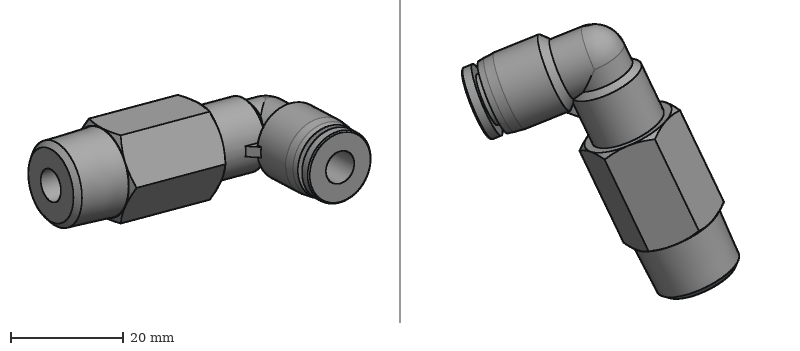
import cadquery as cq
import math


elbow_radius = 5.8
bore_radius = 3.1

body_radius = 7.4
body_shoulder_radius = 7.2
body_end_radius = 6.95
body_start = 7.8
body_taper_start = 16.5
body_shoulder = 18.45
body_end = 19.7
groove_radius = 4.9
collar_start = 20.9
collar_end = 22.9
collar_radius = 6.9
collar_chamfer = 0.25

sleeve_radius = 7.0
sleeve_top = -5.0
sleeve_chamfer = sleeve_radius - elbow_radius

hex_across_flats = 17.0
hex_top = -14.95
hex_bottom = -35.95
hex_chamfer_angle = 30
hex_flat_radius = hex_across_flats / 2
hex_corner_radius = hex_flat_radius / math.cos(math.pi / 6)

thread_end = body_radius - 54.4
thread_top_radius = 8.4
thread_taper = 1 / 32
thread_chamfer = 1.1

web_thickness = 2.0
web_reach = 16.3


def revolve_about_x(profile):
    """Revolve (x, radius) points about the branch axis."""
    return cq.Workplane("XY").polyline(profile).close().revolve(360, (0, 0, 0), (1, 0, 0))


def revolve_about_y(profile):
    """Revolve (radius, y) points about the stem axis."""
    return cq.Workplane("XY").polyline(profile).close().revolve(360, (0, 0, 0), (0, 1, 0))


def round_bend(radius, branch_length, stem_length):
    """Two crossing cylinders joined by a sphere at the origin."""
    branch = cq.Workplane("YZ").circle(radius).extrude(branch_length)
    stem = cq.Workplane("XZ").circle(radius).extrude(stem_length)
    return branch.union(stem).union(cq.Workplane("XY").sphere(radius))


def branch_body():
    neck_end = body_start - (body_radius - elbow_radius)
    return revolve_about_x([
        (neck_end, 0),
        (neck_end, elbow_radius),
        (body_start, body_radius),
        (body_taper_start, body_radius),
        (body_shoulder, body_shoulder_radius),
        (body_end, body_end_radius),
        (body_end, groove_radius),
        (collar_start, groove_radius),
        (collar_start, collar_radius),
        (collar_end - collar_chamfer, collar_radius),
        (collar_end, collar_radius - collar_chamfer),
        (collar_end, 0),
    ])


def sleeve():
    return revolve_about_y([
        (0, sleeve_top + sleeve_chamfer),
        (elbow_radius, sleeve_top + sleeve_chamfer),
        (sleeve_radius, sleeve_top),
        (sleeve_radius, hex_top),
        (0, hex_top),
    ])


def hexagon():
    prism = (
        cq.Workplane("XZ", origin=(0, hex_top, 0))
        .polygon(6, 2 * hex_corner_radius)
        .extrude(hex_top - hex_bottom)
    )
    corner_drop = (hex_corner_radius - hex_flat_radius) * math.tan(math.radians(hex_chamfer_angle))
    chamfer_envelope = revolve_about_y([
        (0, hex_top),
        (hex_flat_radius, hex_top),
        (hex_corner_radius, hex_top - corner_drop),
        (hex_corner_radius, hex_bottom + corner_drop),
        (hex_flat_radius, hex_bottom),
        (0, hex_bottom),
    ])
    return prism.intersect(chamfer_envelope)


def thread():
    chamfer_top = thread_end + thread_chamfer
    end_radius = thread_top_radius - (hex_bottom - chamfer_top) * thread_taper
    return revolve_about_y([
        (0, hex_bottom),
        (thread_top_radius, hex_bottom),
        (end_radius, chamfer_top),
        (end_radius - thread_chamfer, thread_end),
        (0, thread_end),
    ])


def corner_web():
    return (
        cq.Workplane("XY")
        .polyline([(0, 0), (web_reach, 0), (0, -web_reach)])
        .close()
        .extrude(web_thickness / 2, both=True)
    )


outside = (
    round_bend(elbow_radius, body_start, -sleeve_top)
    .union(branch_body())
    .union(sleeve())
    .union(hexagon())
    .union(thread())
    .union(corner_web())
)
bore = round_bend(bore_radius, collar_end, -thread_end)
result = outside.cut(bore)